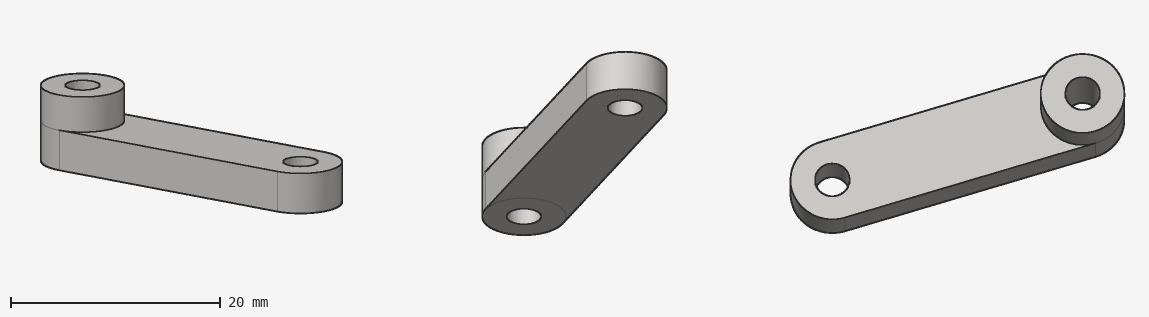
import cadquery as cq

overall_length = 33.0
width = 8.0
arm_thickness = 4.0
boss_height = 7.5
hole_diameter = 3.3

hole_spacing = overall_length - width

arm = (
    cq.Workplane("XY")
    .center(hole_spacing / 2, 0)
    .slot2D(overall_length, width)
    .extrude(arm_thickness)
)

boss = cq.Workplane("XY").circle(width / 2).extrude(boss_height)

holes = (
    cq.Workplane("XY")
    .pushPoints([(0, 0), (hole_spacing, 0)])
    .circle(hole_diameter / 2)
    .extrude(boss_height)
)

result = arm.union(boss).cut(holes)